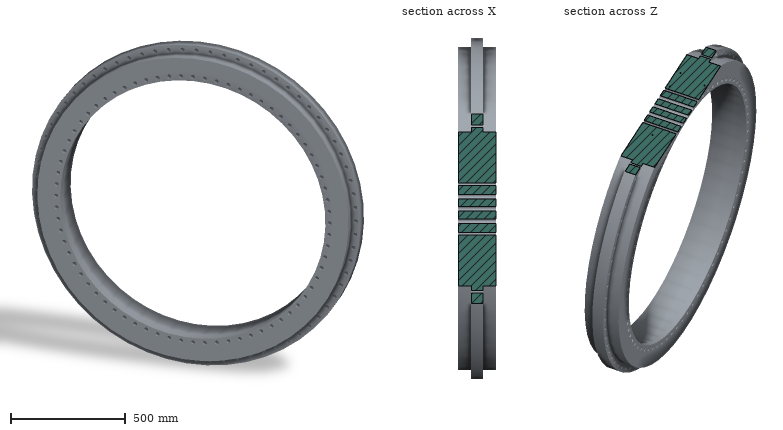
import cadquery as cq

flange_diameter = 1490.0
body_diameter = 1410.0
bore_diameter = 1201.0
ring_width = 164.0
flange_width = 52.0

bolt_hole_diameter = 18.0
bolt_count = 72
outer_bolt_circle_diameter = 1445.0
inner_bolt_circle_diameter = 1240.0


def flanged_ring():
    """Plain ring with a flange around the middle, revolved from its cross-section."""
    bore_radius = bore_diameter / 2
    body_radius = body_diameter / 2
    flange_radius = flange_diameter / 2
    ring_face = ring_width / 2
    flange_face = flange_width / 2
    cross_section = cq.Workplane("YZ").polyline(
        [
            (-ring_face, bore_radius),
            (ring_face, bore_radius),
            (ring_face, body_radius),
            (flange_face, body_radius),
            (flange_face, flange_radius),
            (-flange_face, flange_radius),
            (-flange_face, body_radius),
            (-ring_face, body_radius),
        ]
    ).close()
    return cross_section.revolve(360, (0, 0, 0), (1, 0, 0))


def bolt_holes(circle_diameter):
    """Cutters for a ring of through holes, with the first hole on the X axis."""
    return (
        cq.Workplane("XZ", origin=(0, ring_width / 2, 0))
        .polarArray(circle_diameter / 2, 0, 360, bolt_count)
        .circle(bolt_hole_diameter / 2)
        .extrude(ring_width)
    )


result = (
    flanged_ring()
    .cut(bolt_holes(outer_bolt_circle_diameter))
    .cut(bolt_holes(inner_bolt_circle_diameter))
)